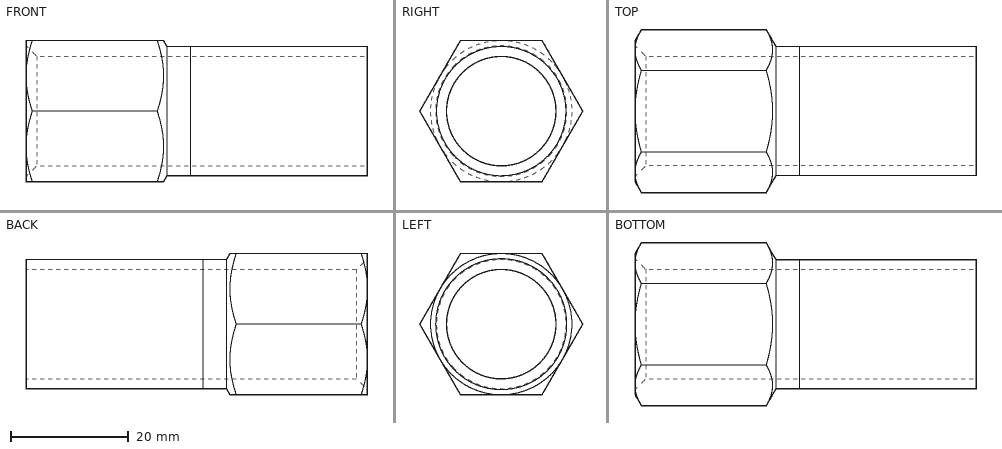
import cadquery as cq
import math

total_length = 58.0
across_flats = 24.0
across_corners = across_flats / math.cos(math.radians(30))
hex_length = 23.95
fitting_length = 27.95
tube_diameter = 22.0
bore_diameter = 18.55
mouth_diameter = 22.3
corner_chamfer_angle = 30.0
mouth_half_angle = 45.0


def corner_chamfer_depth(end_diameter):
    """Axial length of a cone from the hexagon corners down to end_diameter."""
    radial_drop = (across_corners - end_diameter) / 2
    return radial_drop * math.tan(math.radians(corner_chamfer_angle))


def make_hexagon():
    """Hexagon with corners on +Y and -Y, chamfered conically at both ends."""
    prism = cq.Workplane("YZ").polygon(6, across_corners).extrude(hex_length)
    corner_radius = across_corners / 2
    front_depth = corner_chamfer_depth(across_flats)
    rear_depth = corner_chamfer_depth(tube_diameter)
    chamfer_envelope = (
        cq.Workplane("XY")
        .moveTo(0, 0)
        .lineTo(0, across_flats / 2)
        .lineTo(front_depth, corner_radius)
        .lineTo(hex_length - rear_depth, corner_radius)
        .lineTo(hex_length, tube_diameter / 2)
        .lineTo(hex_length, 0)
        .close()
        .revolve(360, (0, 0, 0), (1, 0, 0))
    )
    return prism.intersect(chamfer_envelope)


def make_bore():
    """Through bore of the fitting with its conical mouth."""
    mouth_depth = (mouth_diameter - bore_diameter) / 2 / math.tan(math.radians(mouth_half_angle))
    return (
        cq.Workplane("XY")
        .moveTo(0, 0)
        .lineTo(0, mouth_diameter / 2)
        .lineTo(mouth_depth, bore_diameter / 2)
        .lineTo(fitting_length, bore_diameter / 2)
        .lineTo(fitting_length, 0)
        .close()
        .revolve(360, (0, 0, 0), (1, 0, 0))
    )


def make_fitting():
    """Hexagonal fitting with a round neck that meets the tube."""
    neck = (
        cq.Workplane("YZ", origin=(hex_length, 0, 0))
        .circle(tube_diameter / 2)
        .extrude(fitting_length - hex_length)
    )
    return make_hexagon().union(neck).cut(make_bore())


def make_tube():
    """Plain tube butted against the end of the neck."""
    return (
        cq.Workplane("YZ", origin=(fitting_length, 0, 0))
        .circle(tube_diameter / 2)
        .circle(bore_diameter / 2)
        .extrude(total_length - fitting_length)
    )


fitting = make_fitting()
tube = make_tube()
result = cq.Compound.makeCompound([fitting.val(), tube.val()])